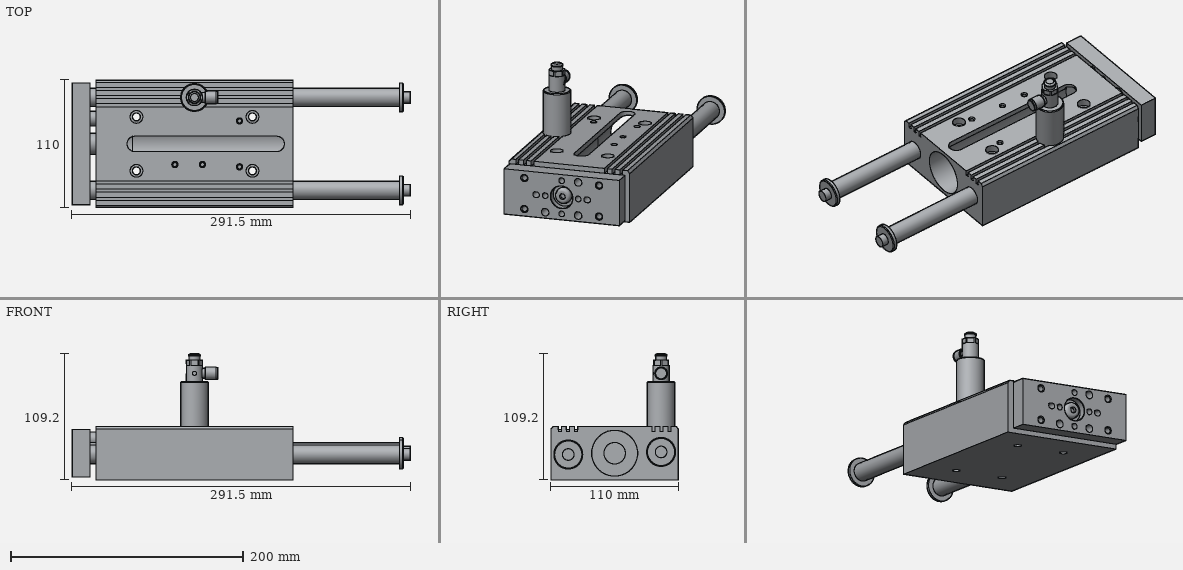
import cadquery as cq
import math

TOTAL_LENGTH = 291.5
TOTAL_HEIGHT = 109.16

HOUSING_LENGTH = 170.0
HOUSING_WIDTH = 110.0
HOUSING_HEIGHT = 46.5
EDGE_BEVEL_WIDTH = 2.0
EDGE_BEVEL_HEIGHT = 2.5

PLATE_THICKNESS = 15.5
PLATE_WIDTH = 105.0
PLATE_HEIGHT = 41.0
PLATE_GAP = 5.0

HOUSING_FRONT = PLATE_THICKNESS + PLATE_GAP
HOUSING_BACK = HOUSING_FRONT + HOUSING_LENGTH
HOUSING_MIDDLE = HOUSING_FRONT + HOUSING_LENGTH / 2
AXIS_Z = HOUSING_HEIGHT / 2

ROD_DIAMETER = 16.0
ROD_SPACING = 80.0
ROD_HEIGHT_SHIFT = 1.1
ROD_CENTRES = [
    (-ROD_SPACING / 2, AXIS_Z - ROD_HEIGHT_SHIFT),
    (ROD_SPACING / 2, AXIS_Z + ROD_HEIGHT_SHIFT),
]
ROD_END = 282.0
COLLAR_DIAMETER = 25.0
COLLAR_THICKNESS = 3.5
COLLAR_BEVEL = 0.8
STUB_DIAMETER = 10.0

PISTON_ROD_DIAMETER = 18.5
BUFFER_DIAMETER = 12.8
BUFFER_Y = 21.75
BUFFER_Z = 35.2

RECESS_DIAMETER = 20.0
RECESS_DEPTH = 7.0
RECESS_BEVEL = 0.3
HEAD_DIAMETER = 14.0
HEAD_HEIGHT = 5.0
HEAD_ROUNDING = 2.8
HEAD_SOCKET_DIAMETER = 5.1
HEAD_SOCKET_DEPTH = 3.0

SMALL_HOLE_DIAMETER = 5.1
LARGE_HOLE_DIAMETER = 6.75
PATTERN_OFFSET = 15.0
SLOT_OFFSET = 23.25
SLOT_LENGTH = 6.0
THREAD_DIAMETER = 5.02
THREAD_MOUTH = 6.6
THREAD_SPACING_Y = 68.0
THREAD_SPACING_Z = 28.0

BORE_DIAMETER = 39.5
BORE_START = 52.0
END_CHAMBER_DIAMETER = 42.0
END_CHAMBER_START = 40.5

TOP_SLOT_START = 47.4
TOP_SLOT_END = 183.0
TOP_SLOT_WIDTH = 13.2

GROOVE_WIDTH = 2.6
GROOVE_DEPTH = 4.5
GROOVE_FIRST_Y = 33.3
GROOVE_PITCH = 7.0
GROOVES_PER_SIDE = 3

MOUNT_DIAMETER = 6.6
MOUNT_COUNTERBORE = 11.0
MOUNT_COUNTERBORE_DEPTH = 6.5
MOUNT_SPACING_X = 100.0
MOUNT_SPACING_Y = 46.5
TOP_HOLE_DIAMETER = 3.5
TOP_HOLE_MOUTH = 5.4
TOP_HOLE_DEPTH = 8.0
TOP_HOLES = [(88.6, -17.8), (112.4, -17.8), (144.3, -19.8), (144.3, 19.8)]

COLUMN_Y = 40.0
COLUMN_DIAMETER = 24.0
COLUMN_TOP = 85.0
COLUMN_BEVEL = 0.8
SWIVEL_DIAMETER = 14.2
SWIVEL_TOP = 99.0
HEX_ACROSS_FLATS = 12.9
HEX_ACROSS_CORNERS = HEX_ACROSS_FLATS / math.cos(math.pi / 6)
HEX_TOP = 103.4
STEM_DIAMETER = 9.6
CAP_DIAMETER = 10.6
CAP_BOTTOM = 107.2
CAP_BEVEL_HEIGHT = 1.2
CAP_BEVEL_WIDTH = 1.9

OUTLET_Z = 92.1
OUTLET_NECK_DIAMETER = 5.5
OUTLET_SHOULDER_DIAMETER = 8.8
OUTLET_SHOULDER_START = 112.1
OUTLET_DIAMETER = 11.0
OUTLET_START = 114.6
OUTLET_END = 126.0
OUTLET_BEVEL = 0.5
OUTLET_RING_WIDTH = 2.0
OUTLET_RING_STEP = 0.3
SCREW_HOLE_DIAMETER = 3.5
SCREW_HOLE_DEPTH = 2.0


def cylinder_x(diameter, start, end, y, z):
    """Cylinder along X between two X positions."""
    return cq.Workplane("YZ", origin=(start, y, z)).circle(diameter / 2).extrude(end - start)


def cylinder_z(diameter, bottom, top, x, y):
    """Upright cylinder between two heights."""
    return cq.Workplane("XY", origin=(x, y, bottom)).circle(diameter / 2).extrude(top - bottom)


def bevelled_mouth(plane, hole_diameter, mouth_diameter, depth):
    """Tool shape for a hole with a 45 degree countersunk mouth, along the plane normal."""
    countersink_depth = (mouth_diameter - hole_diameter) / 2
    hole = cq.Workplane(plane).circle(hole_diameter / 2).extrude(depth)
    mouth = (
        cq.Workplane(plane)
        .circle(mouth_diameter / 2)
        .workplane(offset=countersink_depth)
        .circle(hole_diameter / 2)
        .loft()
    )
    return hole.union(mouth)


def housing_block():
    """Block with both long top edges bevelled, extruded along X."""
    half = HOUSING_WIDTH / 2
    shoulder = HOUSING_HEIGHT - EDGE_BEVEL_HEIGHT
    outline = [
        (-half, 0),
        (half, 0),
        (half, shoulder),
        (half - EDGE_BEVEL_WIDTH, HOUSING_HEIGHT),
        (-half + EDGE_BEVEL_WIDTH, HOUSING_HEIGHT),
        (-half, shoulder),
    ]
    return cq.Workplane("YZ", origin=(HOUSING_FRONT, 0, 0)).polyline(outline).close().extrude(HOUSING_LENGTH)


def cut_grooves(block):
    """Parallel grooves on both sides of the top face, over the full length."""
    for side in (-1, 1):
        for index in range(GROOVES_PER_SIDE):
            y = side * (GROOVE_FIRST_Y + index * GROOVE_PITCH)
            groove = cq.Workplane("XY").box(HOUSING_LENGTH, GROOVE_WIDTH, 2 * GROOVE_DEPTH)
            block = block.cut(groove.translate((HOUSING_MIDDLE, y, HOUSING_HEIGHT)))
    return block


def cut_bores(block):
    """Cylinder bore open at the back, piston rod hole and guide rod holes."""
    block = block.cut(cylinder_x(BORE_DIAMETER, BORE_START, HOUSING_BACK, 0, AXIS_Z))
    block = block.cut(cylinder_x(END_CHAMBER_DIAMETER, END_CHAMBER_START, BORE_START, 0, AXIS_Z))
    block = block.cut(cylinder_x(PISTON_ROD_DIAMETER, HOUSING_FRONT, END_CHAMBER_START, 0, AXIS_Z))
    for y, z in ROD_CENTRES:
        block = block.cut(cylinder_x(ROD_DIAMETER, HOUSING_FRONT, HOUSING_BACK, y, z))
    return block


def cut_top_slot(block):
    """Round-ended slot from the top face down into the bore."""
    middle = (TOP_SLOT_START + TOP_SLOT_END) / 2
    slot = (
        cq.Workplane("XY", origin=(middle, 0, AXIS_Z))
        .slot2D(TOP_SLOT_END - TOP_SLOT_START, TOP_SLOT_WIDTH)
        .extrude(HOUSING_HEIGHT - AXIS_Z)
    )
    return block.cut(slot)


def cut_top_holes(block):
    """Four counterbored through holes and the small blind holes."""
    block = (
        block.copyWorkplane(cq.Workplane("XY", origin=(HOUSING_MIDDLE, 0, HOUSING_HEIGHT)))
        .rarray(MOUNT_SPACING_X, MOUNT_SPACING_Y, 2, 2)
        .cboreHole(MOUNT_DIAMETER, MOUNT_COUNTERBORE, MOUNT_COUNTERBORE_DEPTH)
    )
    for x, y in TOP_HOLES:
        downward = cq.Plane(origin=(x, y, HOUSING_HEIGHT), xDir=(1, 0, 0), normal=(0, 0, -1))
        block = block.cut(bevelled_mouth(downward, TOP_HOLE_DIAMETER, TOP_HOLE_MOUTH, TOP_HOLE_DEPTH))
    return block


def swivel_fitting():
    """Column, swivel barrel, hexagon and cap on one upright axis, with the side outlet."""
    x, y = HOUSING_MIDDLE, COLUMN_Y
    column = cylinder_z(COLUMN_DIAMETER, HOUSING_HEIGHT - GROOVE_DEPTH, COLUMN_TOP, x, y)
    fitting = column.faces(">Z").chamfer(COLUMN_BEVEL)
    fitting = fitting.union(cylinder_z(SWIVEL_DIAMETER, COLUMN_TOP, SWIVEL_TOP, x, y))
    hexagon = (
        cq.Workplane("XY", origin=(x, y, SWIVEL_TOP))
        .polygon(6, HEX_ACROSS_CORNERS)
        .extrude(HEX_TOP - SWIVEL_TOP)
    )
    hexagon = hexagon.intersect(cylinder_z(SWIVEL_DIAMETER, SWIVEL_TOP, HEX_TOP, x, y))
    fitting = fitting.union(hexagon)
    fitting = fitting.union(cylinder_z(STEM_DIAMETER, HEX_TOP, CAP_BOTTOM, x, y))
    cap_side_top = TOTAL_HEIGHT - CAP_BEVEL_HEIGHT
    fitting = fitting.union(cylinder_z(CAP_DIAMETER, CAP_BOTTOM, cap_side_top, x, y))
    cap_cone = (
        cq.Workplane("XY", origin=(x, y, cap_side_top))
        .circle(CAP_DIAMETER / 2)
        .workplane(offset=CAP_BEVEL_HEIGHT)
        .circle(CAP_DIAMETER / 2 - CAP_BEVEL_WIDTH)
        .loft()
    )
    fitting = fitting.union(cap_cone)

    ring_start = OUTLET_END - OUTLET_RING_WIDTH
    fitting = fitting.union(cylinder_x(OUTLET_NECK_DIAMETER, x, OUTLET_START, y, OUTLET_Z))
    shoulder = cylinder_x(OUTLET_SHOULDER_DIAMETER, OUTLET_SHOULDER_START, OUTLET_START, y, OUTLET_Z)
    fitting = fitting.union(shoulder)
    sleeve = cylinder_x(OUTLET_DIAMETER, OUTLET_START, ring_start, y, OUTLET_Z)
    fitting = fitting.union(sleeve.faces("<X").chamfer(OUTLET_BEVEL))
    ring = cylinder_x(OUTLET_DIAMETER - 2 * OUTLET_RING_STEP, ring_start, OUTLET_END, y, OUTLET_Z)
    fitting = fitting.union(ring.faces(">X").chamfer(OUTLET_BEVEL))

    screw_hole = (
        cq.Workplane("XZ", origin=(x, y - SWIVEL_DIAMETER / 2 + SCREW_HOLE_DEPTH, OUTLET_Z))
        .circle(SCREW_HOLE_DIAMETER / 2)
        .extrude(SCREW_HOLE_DEPTH)
    )
    return fitting.cut(screw_hole)


def make_housing():
    block = cut_grooves(housing_block())
    block = cut_top_slot(block)
    block = cut_top_holes(block)
    block = block.union(swivel_fitting())
    return cut_bores(block)


def guide_rod(y, z):
    """Rod from the plate through the housing, with end collar and stub."""
    collar_end = ROD_END + COLLAR_THICKNESS
    rod = cylinder_x(ROD_DIAMETER, PLATE_THICKNESS, ROD_END, y, z)
    collar = cylinder_x(COLLAR_DIAMETER, ROD_END, collar_end, y, z).faces(">X").chamfer(COLLAR_BEVEL)
    stub = cylinder_x(STUB_DIAMETER, collar_end, TOTAL_LENGTH, y, z)
    return rod.union(collar).union(stub)


def cut_plate_holes(plate):
    """Through holes of the front plate, placed about its centre."""
    def face():
        return cq.Workplane("YZ", origin=(0, 0, AXIS_Z))

    offset = PATTERN_OFFSET
    small_holes = [(offset, 0), (-offset, 0), (0, offset), (0, -offset)]
    large_holes = [(offset, -offset), (-offset, -offset), (-offset, offset)]
    plate = plate.cut(face().pushPoints(small_holes).circle(SMALL_HOLE_DIAMETER / 2).extrude(PLATE_THICKNESS))
    plate = plate.cut(face().pushPoints(large_holes).circle(LARGE_HOLE_DIAMETER / 2).extrude(PLATE_THICKNESS))
    slots = (
        face()
        .pushPoints([(SLOT_OFFSET, 0), (-SLOT_OFFSET, 0)])
        .slot2D(SLOT_LENGTH, SMALL_HOLE_DIAMETER)
        .extrude(PLATE_THICKNESS)
    )
    plate = plate.cut(slots)
    for y in (-THREAD_SPACING_Y / 2, THREAD_SPACING_Y / 2):
        for z in (AXIS_Z - THREAD_SPACING_Z / 2, AXIS_Z + THREAD_SPACING_Z / 2):
            inward = cq.Plane(origin=(0, y, z), xDir=(0, 1, 0), normal=(1, 0, 0))
            plate = plate.cut(bevelled_mouth(inward, THREAD_DIAMETER, THREAD_MOUTH, PLATE_THICKNESS))
    return plate


def screw_head():
    """Rounded screw head with a round socket, standing on the recess floor."""
    head_front = RECESS_DEPTH - HEAD_HEIGHT
    head = cylinder_x(HEAD_DIAMETER, head_front, RECESS_DEPTH, 0, AXIS_Z)
    head = head.faces("<X").edges().fillet(HEAD_ROUNDING)
    socket_end = head_front + HEAD_SOCKET_DEPTH
    return head.cut(cylinder_x(HEAD_SOCKET_DIAMETER, head_front, socket_end, 0, AXIS_Z))


def make_slide():
    plate = cq.Workplane("YZ", origin=(0, 0, AXIS_Z)).rect(PLATE_WIDTH, PLATE_HEIGHT).extrude(PLATE_THICKNESS)
    plate = cut_plate_holes(plate)
    recess_mouth = RECESS_DIAMETER + 2 * RECESS_BEVEL
    inward = cq.Plane(origin=(0, 0, AXIS_Z), xDir=(0, 1, 0), normal=(1, 0, 0))
    plate = plate.cut(bevelled_mouth(inward, RECESS_DIAMETER, recess_mouth, RECESS_DEPTH))
    slide = plate.union(screw_head())
    slide = slide.union(cylinder_x(PISTON_ROD_DIAMETER, PLATE_THICKNESS, END_CHAMBER_START, 0, AXIS_Z))
    slide = slide.union(cylinder_x(BUFFER_DIAMETER, PLATE_THICKNESS, HOUSING_FRONT, BUFFER_Y, BUFFER_Z))
    for y, z in ROD_CENTRES:
        slide = slide.union(guide_rod(y, z))
    return slide


housing = make_housing()
slide = make_slide()
result = cq.Compound.makeCompound([housing.val(), slide.val()])